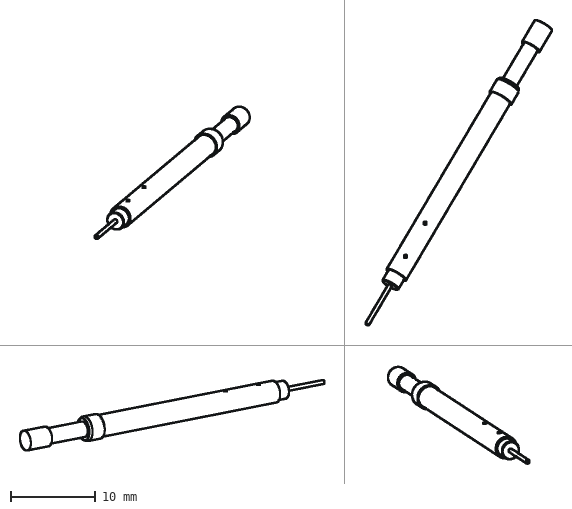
import cadquery as cq

head_diameter = 2.4
neck_diameter = 1.9
collar_diameter = 3.0
barrel_diameter = 2.65
plug_diameter = 2.2
pin_diameter = 0.5

total_length = 42.3
head_length = 3.0
neck_length = 5.2
collar_length = 2.07
barrel_length = 24.95
plug_length = 1.5
pin_length = total_length - head_length - neck_length - collar_length - barrel_length - plug_length

collar_bevel_length = 0.35
collar_bevel_depth = 0.15
plug_chamfer = 0.1
pin_chamfer = 0.1

dimple_diameter = 0.4
dimple_depth = 0.1
dimple_offset = 2.2
dimple_spacing = 4.7


def cylinder_along_y(start, length, diameter):
    """Solid cylinder on the Y axis, from y = start to y = start + length."""
    plane = cq.Workplane("XZ", origin=(0, start, 0))
    return plane.circle(diameter / 2).extrude(-length)


def make_collar(start):
    """Press ring with a cone on the side that faces the plunger head."""
    radius = collar_diameter / 2
    bevel_radius = radius - collar_bevel_depth
    end = start + collar_length
    profile = (
        cq.Workplane("XY")
        .moveTo(0, start)
        .lineTo(radius, start)
        .lineTo(radius, end - collar_bevel_length)
        .lineTo(bevel_radius, end)
        .lineTo(0, end)
        .close()
    )
    return profile.revolve(360, (0, 0, 0), (0, 1, 0))


def make_dimple(y):
    """Cutter for a small round dimple in the top of the barrel."""
    floor = barrel_diameter / 2 - dimple_depth
    plane = cq.Workplane("XY", origin=(0, y, floor))
    return plane.circle(dimple_diameter / 2).extrude(2 * dimple_depth)


pin_start = -total_length / 2
plug_start = pin_start + pin_length
barrel_start = plug_start + plug_length
collar_start = barrel_start + barrel_length
neck_start = collar_start + collar_length
head_start = neck_start + neck_length

pin = cylinder_along_y(pin_start, pin_length, pin_diameter).faces("<Y").chamfer(pin_chamfer)
plug = cylinder_along_y(plug_start, plug_length, plug_diameter).faces("<Y").chamfer(plug_chamfer)
barrel = cylinder_along_y(barrel_start, barrel_length, barrel_diameter)
collar = make_collar(collar_start)
neck = cylinder_along_y(neck_start, neck_length, neck_diameter)
head = cylinder_along_y(head_start, head_length, head_diameter)

result = pin.union(plug).union(barrel).union(collar).union(neck).union(head)

for dimple_y in (barrel_start + dimple_offset, barrel_start + dimple_offset + dimple_spacing):
    result = result.cut(make_dimple(dimple_y))